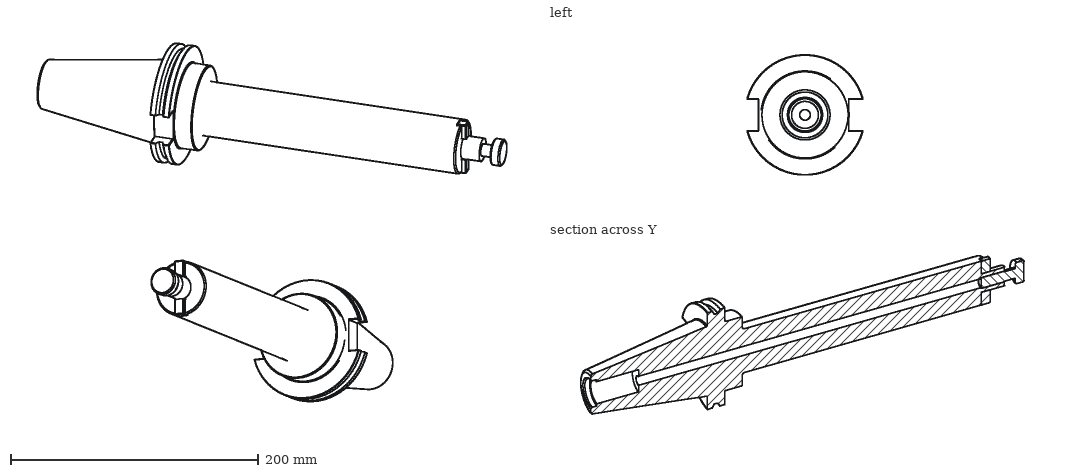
import cadquery as cq
import math

total_length = 389.5
taper_length = 101.5
flange_start = 105.0
flange_width = 16.0
collar_end = 136.5
shank_end = 355.7
pilot_end = 372.0
head_start = 381.5
flange_end = flange_start + flange_width

taper_small_dia = 40.0
taper_large_dia = 69.7
taper_chamfer = 1.5
flange_dia = 97.5
shank_dia = 44.5
shank_root_fillet = 2.5
root_fillet = 0.8
collar_chamfer = 0.8
rim_chamfer = 0.5
shank_end_chamfer = 1.0
pilot_dia = 19.0

groove_width = 7.0
groove_depth = 3.5
groove_wall_angle = 30.0

slot_width = 25.5
slot_chamfer = 0.6
front_slot_floor = 35.5
back_slot_floor = 37.8

bore_mouth_dia = 28.5
counterbore_dia = 26.0
counterbore_depth = 5.5
thread_dia = 22.0
thread_depth = 43.0
coolant_dia = 8.5

key_width = 8.0
key_start = 351.5
key_end = 359.2
key_chamfer = 0.8
key_outer = shank_dia / 2
key_inner = pilot_dia / 2

screw_dia = 10.0
screw_start = 350.5
head_dia = 22.0
head_chamfer = 1.0
screw_neck_fillet = 0.8


def cylinder(start, end, diameter):
    """Cylinder on the X axis between two stations."""
    return cq.Workplane("YZ", origin=(start, 0, 0)).circle(diameter / 2).extrude(end - start)


def make_turned_holder():
    """Taper, flange, collar, shank and pilot turned from one profile."""
    taper_slope = (taper_large_dia - taper_small_dia) / 2 / taper_length
    taper_radius = taper_small_dia / 2
    collar_radius = taper_large_dia / 2
    flange_radius = flange_dia / 2
    shank_radius = shank_dia / 2
    pilot_radius = pilot_dia / 2
    groove_middle = flange_start + flange_width / 2
    groove_half = groove_width / 2
    floor_half = groove_half - groove_depth * math.tan(math.radians(groove_wall_angle))
    floor_radius = flange_radius - groove_depth
    arc_share = 1 - math.sqrt(0.5)
    shank_bulge = shank_root_fillet * arc_share
    root_bulge = root_fillet * arc_share
    return (
        cq.Workplane("XY")
        .moveTo(0, 0)
        .lineTo(0, taper_radius - taper_chamfer)
        .lineTo(taper_chamfer, taper_radius + taper_slope * taper_chamfer)
        .lineTo(taper_length, collar_radius)
        .lineTo(flange_start - root_fillet, collar_radius)
        .threePointArc(
            (flange_start - root_bulge, collar_radius + root_bulge),
            (flange_start, collar_radius + root_fillet),
        )
        .lineTo(flange_start, flange_radius - rim_chamfer)
        .lineTo(flange_start + rim_chamfer, flange_radius)
        .lineTo(groove_middle - groove_half, flange_radius)
        .lineTo(groove_middle - floor_half, floor_radius)
        .lineTo(groove_middle + floor_half, floor_radius)
        .lineTo(groove_middle + groove_half, flange_radius)
        .lineTo(flange_end - rim_chamfer, flange_radius)
        .lineTo(flange_end, flange_radius - rim_chamfer)
        .lineTo(flange_end, collar_radius + root_fillet)
        .threePointArc(
            (flange_end + root_bulge, collar_radius + root_bulge),
            (flange_end + root_fillet, collar_radius),
        )
        .lineTo(collar_end - collar_chamfer, collar_radius)
        .lineTo(collar_end, collar_radius - collar_chamfer)
        .lineTo(collar_end, shank_radius + shank_root_fillet)
        .threePointArc(
            (collar_end + shank_bulge, shank_radius + shank_bulge),
            (collar_end + shank_root_fillet, shank_radius),
        )
        .lineTo(shank_end - shank_end_chamfer, shank_radius)
        .lineTo(shank_end, shank_radius - shank_end_chamfer)
        .lineTo(shank_end, pilot_radius + root_fillet)
        .threePointArc(
            (shank_end + root_bulge, pilot_radius + root_bulge),
            (shank_end + root_fillet, pilot_radius),
        )
        .lineTo(pilot_end, pilot_radius)
        .lineTo(pilot_end, 0)
        .close()
        .revolve(360, (0, 0, 0), (1, 0, 0))
    )


def make_slot_cutter(floor, side):
    """Driving slot that flares at the flange faces and rim; side is -1 or 1 along Y."""
    half_width = slot_width / 2
    mouth_half = half_width + slot_chamfer
    middle = flange_start + flange_width / 2
    half_length = flange_width / 2
    wall_half_length = half_length - slot_chamfer
    wall_end = math.sqrt((flange_dia / 2) ** 2 - half_width**2)
    flare_start = wall_end - slot_chamfer
    across_faces = (
        cq.Workplane("XZ", origin=(middle, side * floor, 0))
        .moveTo(-half_length, -mouth_half)
        .lineTo(-wall_half_length, -half_width)
        .lineTo(wall_half_length, -half_width)
        .lineTo(half_length, -mouth_half)
        .lineTo(half_length, mouth_half)
        .lineTo(wall_half_length, half_width)
        .lineTo(-wall_half_length, half_width)
        .lineTo(-half_length, mouth_half)
        .close()
        .extrude(-side * (wall_end - floor))
    )
    across_rim = (
        cq.Workplane("YZ", origin=(flange_start, 0, 0))
        .moveTo(side * flare_start, -half_width)
        .lineTo(side * flare_start, half_width)
        .lineTo(side * wall_end, mouth_half)
        .lineTo(side * flange_dia / 2, mouth_half)
        .lineTo(side * flange_dia / 2, -mouth_half)
        .lineTo(side * wall_end, -mouth_half)
        .close()
        .extrude(flange_width)
    )
    return across_faces.union(across_rim)


def make_bore_cutter():
    """Drawbar bore with its flared mouth, running into the coolant hole."""
    flare = (bore_mouth_dia - counterbore_dia) / 2
    mouth = (
        cq.Workplane("XY")
        .polyline([(0, 0), (0, bore_mouth_dia / 2), (flare, counterbore_dia / 2), (flare, 0)])
        .close()
        .revolve(360, (0, 0, 0), (1, 0, 0))
    )
    return (
        mouth.union(cylinder(0, counterbore_depth, counterbore_dia))
        .union(cylinder(0, thread_depth, thread_dia))
        .union(cylinder(0, screw_start, coolant_dia))
    )


def make_key_block(side):
    """Plain block of one drive key; side is -1 or 1 along Z."""
    length = key_end - key_start
    height = key_outer - key_inner
    return cq.Workplane("XY").box(length, key_width, height).translate(
        (key_start + length / 2, 0, side * (key_inner + height / 2))
    )


def make_key(side):
    """Drive key, chamfered on every edge except those of its inner face."""
    outer_face = ">Z" if side > 0 else "<Z"
    return make_key_block(side).edges(f"|Z or {outer_face}").chamfer(key_chamfer)


def make_screw():
    """Clamping screw: threaded shank and a round chamfered head."""
    head = cylinder(head_start, total_length, head_dia).edges().chamfer(head_chamfer)
    screw_body = cylinder(screw_start, head_start, screw_dia).union(head)
    neck_point = (head_start, 0, screw_dia / 2)
    return screw_body.edges(cq.NearestToPointSelector(neck_point)).fillet(screw_neck_fillet)


def make_holder():
    """Turned holder with its driving slots, bores and key seats cut in."""
    body = make_turned_holder()
    body = body.cut(make_slot_cutter(front_slot_floor, -1))
    body = body.cut(make_slot_cutter(back_slot_floor, 1))
    body = body.cut(make_bore_cutter())
    body = body.cut(cylinder(screw_start, pilot_end, screw_dia))
    for side in (-1, 1):
        body = body.cut(make_key_block(side))
    return body


holder = make_holder()
screw = make_screw()
keys = [make_key(side) for side in (-1, 1)]

result = cq.Compound.makeCompound([holder.val(), screw.val(), *[key.val() for key in keys]])